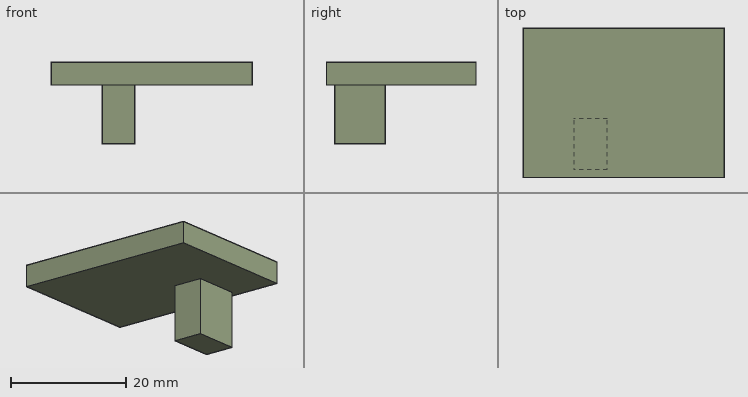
import cadquery as cq

plate_length = 35.0
plate_width = 26.0
overall_height = 14.2
plate_thickness = 4.0

post_length = 5.7
post_width = 8.82
post_left_offset = 8.85
post_front_offset = 1.45
post_height = overall_height - plate_thickness


def make_plate():
    """Flat plate resting on the post, with its -X, -Y corner on the Z axis."""
    return (
        cq.Workplane("XY")
        .box(plate_length, plate_width, plate_thickness, centered=False)
        .translate((0, 0, post_height))
    )


def make_post():
    """Post standing on Z = 0 and touching the underside of the plate."""
    return (
        cq.Workplane("XY")
        .box(post_length, post_width, post_height, centered=False)
        .translate((post_left_offset, post_front_offset, 0))
    )


plate = make_plate()
post = make_post()

result = cq.Compound.makeCompound([plate.val(), post.val()])